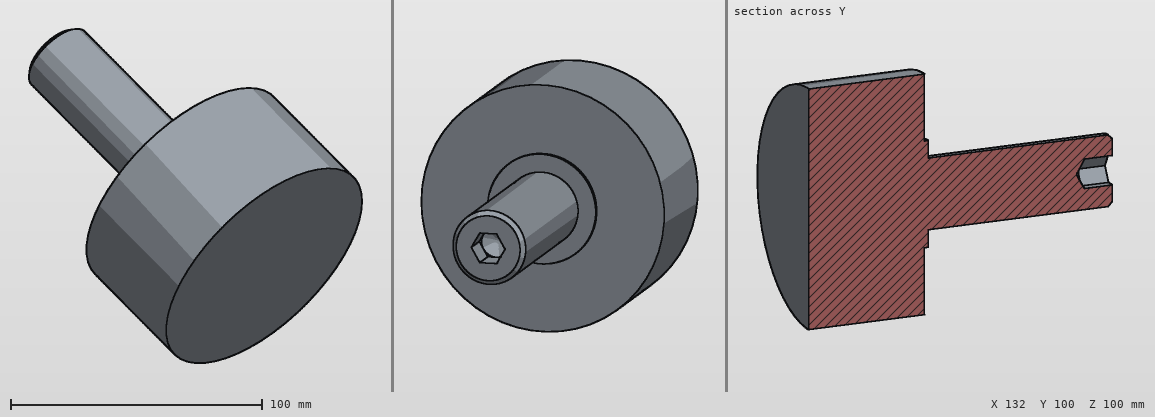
import cadquery as cq
import math

total_length = 132.0
roller_diameter = 100.0
roller_width = 50.4
collar_diameter = 44.5
collar_thickness = 1.6
stud_diameter = 30.0
stud_chamfer = 1.8
stud_length = total_length - roller_width - collar_thickness

hex_across_flats = 12.0
hex_depth = 12.0
drill_point_angle = 120.0
hex_across_corners = hex_across_flats / math.cos(math.pi / 6)
cone_radius = hex_across_flats / 2
cone_depth = cone_radius / math.tan(math.radians(drill_point_angle / 2))


def cylinder(start_x, length, diameter):
    """Solid cylinder along +X, starting at start_x."""
    return cq.Workplane("YZ", origin=(start_x, 0, 0)).circle(diameter / 2).extrude(length)


def hex_socket():
    """Cutter for the socket: a hexagonal prism with corners toward +Y and -Y, plus a cone."""
    prism = cq.Workplane("YZ").polygon(6, hex_across_corners).extrude(hex_depth)
    cone = cq.Solid.makeCone(
        cone_radius, 0, cone_depth, pnt=cq.Vector(hex_depth, 0, 0), dir=cq.Vector(1, 0, 0)
    )
    return prism.union(cq.Workplane(cone))


stud = cylinder(0, stud_length, stud_diameter).faces("<X").chamfer(stud_chamfer)
collar = cylinder(stud_length, collar_thickness, collar_diameter)
roller = cylinder(stud_length + collar_thickness, roller_width, roller_diameter)

result = stud.union(collar).union(roller).cut(hex_socket())